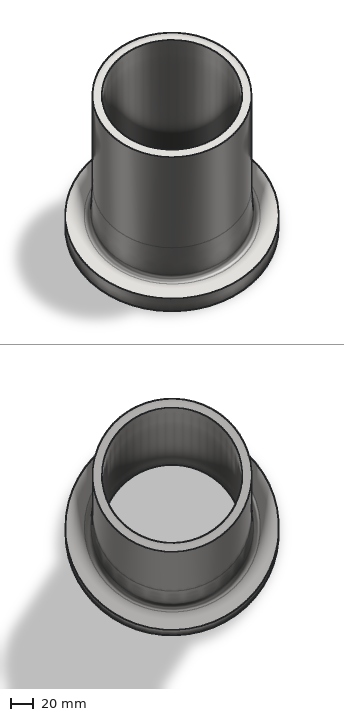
import cadquery as cq

flange_diameter = 188.0
flange_thickness = 18.2

total_height = 188.0
pipe_diameter = 140.0
bore_diameter = 123.5

hub_top_height = 60.2
hub_base_diameter = 143.3
fillet_height = 5.0
fillet_foot_diameter = 155.0

flange_radius = flange_diameter / 2
pipe_radius = pipe_diameter / 2
bore_radius = bore_diameter / 2
hub_base_radius = hub_base_diameter / 2
fillet_foot_radius = fillet_foot_diameter / 2
hub_base_height = flange_thickness + fillet_height

half_section = (
    cq.Workplane("XZ")
    .moveTo(bore_radius, 0)
    .lineTo(flange_radius, 0)
    .lineTo(flange_radius, flange_thickness)
    .lineTo(fillet_foot_radius, flange_thickness)
    .tangentArcPoint((hub_base_radius, hub_base_height), relative=False)
    .lineTo(pipe_radius, hub_top_height)
    .lineTo(pipe_radius, total_height)
    .lineTo(bore_radius, total_height)
    .close()
)

result = half_section.revolve(360, (0, 0, 0), (0, 1, 0))